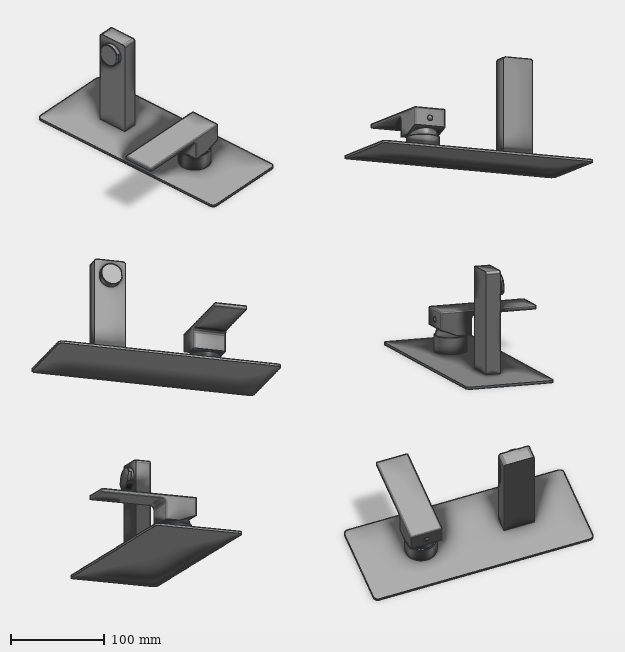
import cadquery as cq

PLATE_LENGTH = 250.0
PLATE_DEPTH = 100.0
PLATE_THICKNESS = 2.5
PLATE_CORNER_RADIUS = 5.0

SPOUT_X = -54.8
SPOUT_WIDTH = 35.0
SPOUT_FRONT_Y = -8.5
SPOUT_DEPTH = 16.5
TOTAL_HEIGHT = 115.0
SPOUT_CORNER_RADIUS = 3.0

NOZZLE_Z = 97.0
NOZZLE_DIAMETER = 24.2
NOZZLE_LENGTH = 6.5
NOZZLE_TILT_DEGREES = 6.0
NOZZLE_ROOT = 2.5
FLAT_SPACING = 22.0
FLAT_LENGTH = 3.2
NOZZLE_CHAMFER = 0.5

JOINT_X = 54.5
COLLAR_DIAMETER = 35.2
COLLAR_TOP = 20.5
BALL_RADIUS = 16.0

LEVER_WIDTH = 36.0
LEVER_REAR_Y = 17.8
LEVER_TIP_Y = -91.8
LEVER_TOP = 49.5
BLADE_THICKNESS = 4.5
BLOCK_FRONT_Y = -17.8
BLOCK_BOTTOM = 22.5
REAR_BOTTOM = 30.0
REAR_SLOPE_RUN = 19.5
BLADE_ROOT_RADIUS = 5.0
LEVER_EDGE_RADIUS = 1.2
SELECTION_MARGIN = 0.2

BUTTON_Z = 38.5
BUTTON_RADIUS = 3.0
BUTTON_HEIGHT = 1.8


def make_plate():
    """Thin rectangle with rounded corners, its underside at Z = 0."""
    plate = cq.Workplane("XY").box(PLATE_LENGTH, PLATE_DEPTH, PLATE_THICKNESS, centered=(True, True, False))
    return plate.edges("|Z").fillet(PLATE_CORNER_RADIUS)


def make_spout():
    """Upright bar sunk through the plate and rounded at its two top corners."""
    spout = (
        cq.Workplane("XY")
        .box(SPOUT_WIDTH, SPOUT_DEPTH, TOTAL_HEIGHT, centered=(True, False, False))
        .translate((SPOUT_X, SPOUT_FRONT_Y, 0))
    )
    return spout.edges(">Z and |Y").fillet(SPOUT_CORNER_RADIUS)


def make_nozzle():
    """Short cylinder along -Y with two side flats at its end, then tilted and placed."""
    nozzle = cq.Workplane("XZ", origin=(0, NOZZLE_ROOT, 0)).circle(NOZZLE_DIAMETER / 2)
    nozzle = nozzle.extrude(NOZZLE_ROOT + NOZZLE_LENGTH).faces("<Y").chamfer(NOZZLE_CHAMFER)
    body_length = NOZZLE_LENGTH - FLAT_LENGTH
    round_zone = (
        cq.Workplane("XZ", origin=(0, NOZZLE_ROOT, 0))
        .rect(NOZZLE_DIAMETER, NOZZLE_DIAMETER)
        .extrude(NOZZLE_ROOT + body_length)
    )
    flat_zone = (
        cq.Workplane("XZ", origin=(0, -body_length, 0))
        .rect(FLAT_SPACING, NOZZLE_DIAMETER)
        .extrude(FLAT_LENGTH)
    )
    nozzle = nozzle.intersect(round_zone.union(flat_zone))
    nozzle = nozzle.rotate((0, 0, 0), (1, 0, 0), -NOZZLE_TILT_DEGREES)
    return nozzle.translate((SPOUT_X, SPOUT_FRONT_Y, NOZZLE_Z))


def make_collar():
    """Round post under the ball, sunk through the plate."""
    return cq.Workplane("XY").center(JOINT_X, 0).circle(COLLAR_DIAMETER / 2).extrude(COLLAR_TOP)


def make_ball():
    """Upper half of a sphere standing on the collar."""
    return (
        cq.Workplane("XY")
        .sphere(BALL_RADIUS, angle1=0, angle2=90)
        .translate((JOINT_X, 0, COLLAR_TOP))
    )


def make_button():
    """Spherical cap on the lever's rear face."""
    sphere_radius = (BUTTON_RADIUS**2 + BUTTON_HEIGHT**2) / (2 * BUTTON_HEIGHT)
    center_y = LEVER_REAR_Y + BUTTON_HEIGHT - sphere_radius
    return cq.Workplane("XY").sphere(sphere_radius).translate((JOINT_X, center_y, BUTTON_Z))


def make_lever():
    """Extruded side profile with rounded edges, the rear button and the socket for the ball."""
    blade_bottom = LEVER_TOP - BLADE_THICKNESS
    lever = (
        cq.Workplane("YZ", origin=(JOINT_X, 0, 0))
        .moveTo(LEVER_REAR_Y, LEVER_TOP)
        .lineTo(LEVER_TIP_Y, LEVER_TOP)
        .lineTo(LEVER_TIP_Y, blade_bottom)
        .lineTo(BLOCK_FRONT_Y - BLADE_ROOT_RADIUS, blade_bottom)
        .radiusArc((BLOCK_FRONT_Y, blade_bottom - BLADE_ROOT_RADIUS), BLADE_ROOT_RADIUS)
        .lineTo(BLOCK_FRONT_Y, BLOCK_BOTTOM)
        .lineTo(LEVER_REAR_Y - REAR_SLOPE_RUN, BLOCK_BOTTOM)
        .lineTo(LEVER_REAR_Y, REAR_BOTTOM)
        .close()
        .extrude(LEVER_WIDTH / 2, both=True)
    )
    underside = cq.selectors.BoxSelector(
        (JOINT_X - LEVER_WIDTH, BLOCK_FRONT_Y - SELECTION_MARGIN, BLOCK_BOTTOM - SELECTION_MARGIN),
        (JOINT_X + LEVER_WIDTH, LEVER_REAR_Y + SELECTION_MARGIN, REAR_BOTTOM + SELECTION_MARGIN),
    )
    rounded_edges = cq.selectors.InverseSelector(underside)
    lever = lever.edges(rounded_edges).fillet(LEVER_EDGE_RADIUS)
    return lever.union(make_button()).cut(make_ball())


mixer_base = make_plate()
for feature in (make_spout(), make_nozzle(), make_collar(), make_ball()):
    mixer_base = mixer_base.union(feature)

lever = make_lever()

result = cq.Compound.makeCompound([mixer_base.solids().val(), lever.solids().val()])